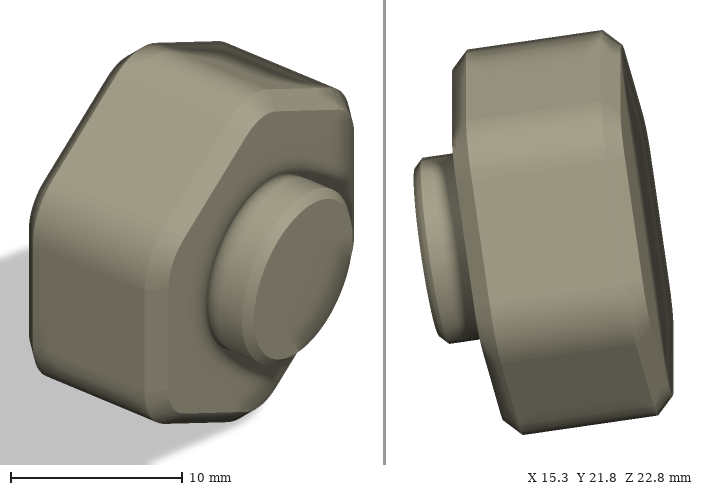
import cadquery as cq
import math

HEAD_HEIGHT = 22.75
CORNER_RADIUS = 4.0
HEAD_THICKNESS = 10.0
HEAD_CHAMFER = 1.0

BOSS_DIAMETER = 11.0
BOSS_LENGTH = 3.0
BOSS_CHAMFER = 0.5

AXIS_TURN = 10.0

corner_loss = CORNER_RADIUS * (1 / math.cos(math.radians(30)) - 1)
sharp_corner_diameter = HEAD_HEIGHT + 2 * corner_loss


def make_head():
    """Hexagonal prism along X with rounded corners and chamfered end faces."""
    prism = (
        cq.Workplane("YZ")
        .transformed(rotate=(0, 0, 90))
        .polygon(6, sharp_corner_diameter)
        .extrude(HEAD_THICKNESS)
    )
    rounded = prism.edges("|X").fillet(CORNER_RADIUS)
    return rounded.faces("<X or >X").edges().chamfer(HEAD_CHAMFER)


def make_boss():
    """Cylinder on the back face of the head, chamfered at its free end."""
    boss = (
        cq.Workplane("YZ")
        .workplane(offset=HEAD_THICKNESS)
        .circle(BOSS_DIAMETER / 2)
        .extrude(BOSS_LENGTH)
    )
    return boss.faces(">X").edges().chamfer(BOSS_CHAMFER)


result = make_head().union(make_boss()).rotate((0, 0, 0), (0, 0, 1), AXIS_TURN)